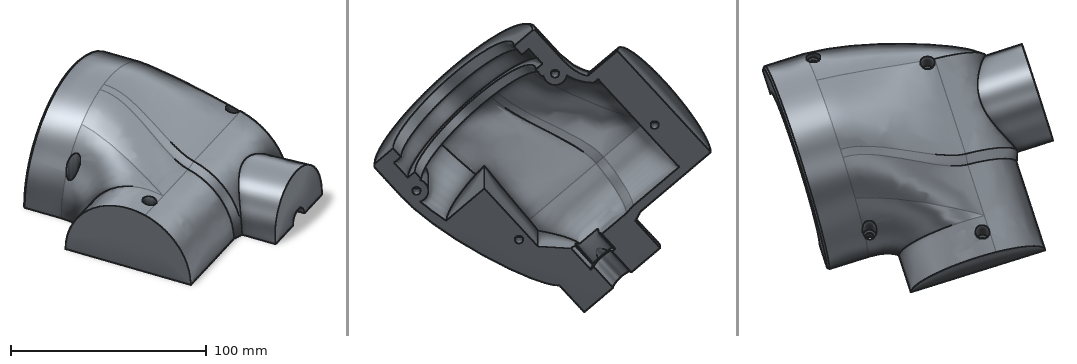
import cadquery as cq
import math


collar_radius = 55.0
collar_length = 21.8
collar_chamfer = 1.1
bore_radius = 41.1
groove_radius = 45.8
groove_start = 6.2
groove_end = 16.8

branch_x = 72.9
branch_radius = 36.0
crown_radius = 38.0
crown_half_length = 26.0
step_length = 5.2
shoulder_y = -59.0
branch_end_y = -79.0

seam_angle = 36.0
ridge_angle = 15.5
ridge_slope = math.radians(ridge_angle)
ridge_dir = (math.cos(ridge_slope), 0, -math.sin(ridge_slope))
start_dir = (1, 0, 0)
start_lean = 0.5
start_pull = 0.3
end_pull = 0.25
crown_side_dir = (0.6, -0.8, 0)
crown_seam_lean = 0.0
crown_start_pull = 0.32
crown_end_pull = 0.12
shoulder_side_dir = (0.7, -0.7, 0)
shoulder_seam_lean = 0.45
shoulder_start_pull = 0.58
shoulder_end_pull = 0.11

wall = 4.8
crown_wall = 6.2
inner_step_shift = 1.0
pocket_y = 20.4
pocket_floor_x = 46.9
corner_reach = 35.6
cavity_end_y = -61.6

total_length = 130.1
spigot_radius = 26.0
spigot_tilt = 3.0
cable_radius = 6.2
recess_radius = 8.3
recess_half_width = 6.8
recess_mouth_x = 103.2
recess_mouth_height = 9.5
recess_end_x = 115.2
recess_end_height = 7.6

screw_radius = 4.2 / 2
screw_head_radius = 7.2 / 2
screw_seat_z = 10.7
boss_radius = 6.0
collar_screw_x = 24.9
collar_screw_y = 47.2
branch_screw_x = 79.0
branch_screw_ys = (25.2, -67.1)

grid_steps = 16
patch_tolerance = 1e-4
sew_tolerance = 0.02
margin = 13.4
space = 402.0
upper_space = cq.Workplane("XY").box(space, space, space, centered=(True, True, False))


def mix(a, b, t):
    """Value or vector that is `a` at t = 0 and `b` at t = 1."""
    if isinstance(a, tuple):
        return tuple(mix(p, q, t) for p, q in zip(a, b))
    return a + (b - a) * t


def unit(vector):
    size = math.hypot(*vector)
    return tuple(c / size for c in vector)


def chord_dir(start, end):
    return unit(tuple(e - s for s, e in zip(start, end)))


def flow_path(start, leave, end, arrive, pulls):
    """Cubic from `start` to `end` with the given directions and pulls at its ends."""
    reach = math.dist(start, end)
    first, last = cq.Vector(*start), cq.Vector(*end)
    near_first = first + cq.Vector(*unit(leave)) * (pulls[0] * reach)
    near_last = last - cq.Vector(*unit(arrive)) * (pulls[1] * reach)

    def point(t):
        s = 1 - t
        return first * s**3 + near_first * (3 * s * s * t) + near_last * (3 * s * t * t) + last * t**3

    return point


def patch(path_at):
    """Smooth face swept by the paths path_at(0) to path_at(1)."""
    steps = [i / grid_steps for i in range(grid_steps + 1)]
    rows = [[path_at(v)(t) for t in steps] for v in steps]
    return cq.Face.makeSplineApprox(rows, tol=patch_tolerance, minDeg=3, maxDeg=6)


def arc(points):
    return cq.Edge.makeThreePointArc(*[cq.Vector(*p) for p in points])


def lines(points):
    return [cq.Edge.makeLine(cq.Vector(*p), cq.Vector(*q)) for p, q in zip(points, points[1:])]


def flat(edges):
    return cq.Face.makeFromWires(cq.Wire.assembleEdges(edges))


def branch_point(radius, angle, y):
    """Point about the branch axis, at an angle from +Z towards +X."""
    a = math.radians(angle)
    return (branch_x + radius * math.sin(a), y, radius * math.cos(a))


def rim(from_angle, to_angle, radius, y):
    angles = (from_angle, (from_angle + to_angle) / 2, to_angle)
    return arc([branch_point(radius, a, y) for a in angles])


def tee_body(ring_radius, crown, branch, crown_y, step_y, end_y):
    """Solid that flows from the collar circle into the crown and the branch."""
    step_end_y = step_y - step_length

    def ring_point(angle):
        a = math.radians(angle)
        return (collar_length, ring_radius * math.sin(a), ring_radius * math.cos(a))

    def top_path(y, radius):
        """Path over the top, ending on the ridge line at the given Y."""
        fraction = (crown_y - y) / (crown_y - shoulder_y)
        start = ring_point(mix(seam_angle, -seam_angle, fraction))
        end = branch_point(radius, ridge_angle, y)
        chord = chord_dir(start, end)
        seam_share = 0.0
        seam_dir = chord
        if y > 0:
            seam_share = (y / crown_y) ** 2
            seam_dir = mix(chord, crown_side_dir, crown_seam_lean)
        elif y < step_end_y:
            seam_share = ((y - step_end_y) / (shoulder_y - step_end_y)) ** 2
            seam_dir = mix(chord, shoulder_side_dir, shoulder_seam_lean)
        leave = mix(start_dir, mix(chord, start_dir, start_lean), seam_share)
        arrive = mix(ridge_dir, seam_dir, seam_share)
        return flow_path(start, leave, end, arrive, (start_pull, end_pull))

    def side_path(v, side, radius, y, side_dir, seam_lean, pulls):
        """Path down one side; v runs from the seam (0) to the parting plane (1)."""
        start = ring_point(side * mix(seam_angle, 90, v))
        end = branch_point(radius, mix(ridge_angle, side * 90, v), y)
        chord = chord_dir(start, end)
        leave = mix(chord, start_dir, mix(start_lean, 1, v))
        arrive = mix(chord, side_dir, mix(seam_lean, 1, v))
        return flow_path(start, leave, end, arrive, mix((start_pull, end_pull), pulls, v))

    def crown_side(v):
        pulls = (crown_start_pull, crown_end_pull)
        return side_path(v, 1, crown, crown_y, crown_side_dir, crown_seam_lean, pulls)

    def shoulder_side(v):
        pulls = (shoulder_start_pull, shoulder_end_pull)
        return side_path(v, -1, branch, shoulder_y, shoulder_side_dir, shoulder_seam_lean, pulls)

    def top_strip(y_from, y_to, radius_from, radius_to):
        return patch(lambda v: top_path(mix(y_from, y_to, v), mix(radius_from, radius_to, v)))

    def floor_edge(path):
        points = [path(i / grid_steps) for i in range(grid_steps + 1)]
        return cq.Edge.makeSpline([cq.Vector(p.x, p.y, 0) for p in points])

    faces = [
        top_strip(crown_y, step_y, crown, crown),
        top_strip(step_y, step_end_y, crown, branch),
        top_strip(step_end_y, shoulder_y, branch, branch),
        patch(crown_side),
        patch(shoulder_side),
    ]

    stations = [(crown_y, crown), (step_y, crown), (step_end_y, branch), (end_y, branch)]
    outer_rims = [rim(ridge_angle, 90, radius, y) for y, radius in stations]
    inner_rims = [rim(-90, ridge_angle, branch, y) for y in (shoulder_y, end_y)]
    for first, second in zip(outer_rims, outer_rims[1:]):
        faces.append(cq.Face.makeRuledSurface(first, second))
    faces.append(cq.Face.makeRuledSurface(*inner_rims))

    left = (collar_length, ring_radius, 0)
    right = (collar_length, -ring_radius, 0)
    collar_edge = lines([right, left])
    faces.append(flat([arc([left, ring_point(0), right])] + collar_edge))
    end_corners = [(branch_x + branch, end_y, 0), (branch_x - branch, end_y, 0)]
    faces.append(flat([inner_rims[1], outer_rims[-1]] + lines(end_corners)))
    outer_side = [(branch_x + radius, y, 0) for y, radius in stations]
    inner_side = [end_corners[1], (branch_x - branch, shoulder_y, 0)]
    blend_edges = [floor_edge(crown_side(1)), floor_edge(shoulder_side(1))]
    faces.append(flat(blend_edges + lines(outer_side + inner_side) + collar_edge))

    skin = cq.occ_impl.shapes.shell(*faces, tol=sew_tolerance)
    return cq.Workplane(cq.Solid.makeSolid(skin))


def x_cylinder(radius, x_from, x_to):
    return cq.Workplane("YZ", origin=(x_from, 0, 0)).circle(radius).extrude(x_to - x_from)


def z_cylinder(radius, x, y, z_from):
    """Upright cylinder that reaches past the top of the part."""
    return cq.Workplane("XY", origin=(x, y, z_from)).circle(radius).extrude(collar_radius + margin)


def outer_body():
    body = tee_body(
        collar_radius, crown_radius, branch_radius, crown_half_length, -crown_half_length, branch_end_y
    )
    collar = x_cylinder(collar_radius, 0, collar_length).faces("<X").chamfer(collar_chamfer)
    spigot_reach = (total_length - branch_x) * math.cos(math.radians(spigot_tilt))
    spigot = x_cylinder(spigot_radius, branch_x, branch_x + spigot_reach)
    spigot = spigot.rotate((branch_x, 0, 0), (branch_x, 1, 0), -spigot_tilt)
    return body.union(collar.intersect(upper_space)).union(spigot.intersect(upper_space))


def cavity():
    hollow = tee_body(
        collar_radius - wall,
        crown_radius - crown_wall,
        branch_radius - wall,
        pocket_y,
        inner_step_shift - crown_half_length,
        cavity_end_y,
    )
    corner = cq.Workplane("XY").box(space, space, space, centered=(False, False, True))
    hollow = hollow.cut(corner.translate((pocket_floor_x, pocket_y, 0)))
    beyond = cq.Workplane("XY").box(space, space, space, centered=(False, True, True))
    diagonal = beyond.rotate((0, 0, 0), (0, 0, 1), 45).translate((branch_x + corner_reach, 0, 0))
    hollow = hollow.cut(diagonal)
    for side in (1, -1):
        hollow = hollow.cut(z_cylinder(boss_radius, collar_screw_x, side * collar_screw_y, -margin))
    bore = x_cylinder(bore_radius, -margin, pocket_floor_x)
    groove = x_cylinder(groove_radius, groove_start, groove_end)
    return hollow.union(bore).union(groove)


def cable_passage():
    hole = x_cylinder(cable_radius, branch_x, total_length + margin)
    recess = x_cylinder(recess_radius, branch_x, recess_end_x)
    profile = [
        (branch_x, 0),
        (branch_x, recess_mouth_height),
        (recess_mouth_x, recess_mouth_height),
        (recess_end_x, recess_end_height),
        (recess_end_x, 0),
    ]
    slot = cq.Workplane("XZ").polyline(profile).close().extrude(recess_half_width, both=True)
    return hole.union(recess).union(slot)


def screw_hole(x, y):
    shank = z_cylinder(screw_radius, x, y, -margin)
    return shank.union(z_cylinder(screw_head_radius, x, y, screw_seat_z))


screw_places = [(collar_screw_x, collar_screw_y), (collar_screw_x, -collar_screw_y)]
screw_places += [(branch_screw_x, y) for y in branch_screw_ys]

half_shell = outer_body().cut(cavity()).cut(cable_passage())
for screw_x, screw_y in screw_places:
    half_shell = half_shell.cut(screw_hole(screw_x, screw_y))

result = half_shell